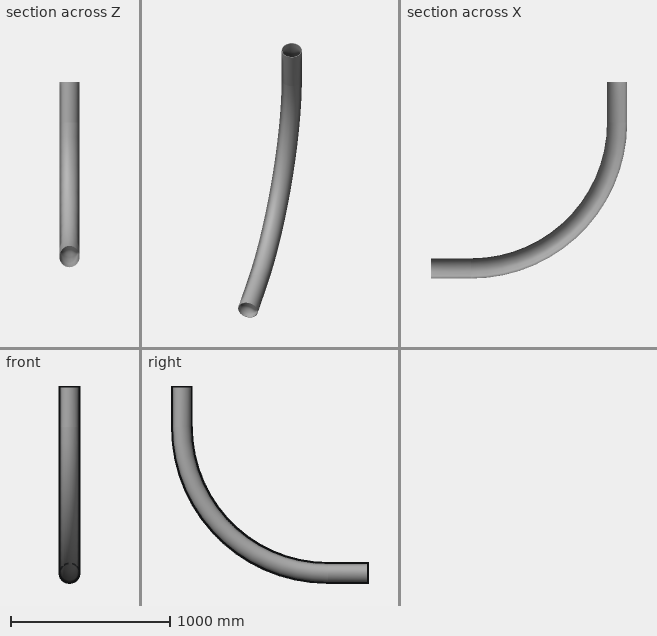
import cadquery as cq

overall_size = 1232.0
outer_diameter = 127.0
inner_diameter = 121.0
leg_length = 254.0
bend_angle = 90

bend_radius = overall_size - leg_length - outer_diameter / 2


def pipe_section(plane):
    """Ring-shaped cross-section of the pipe, centred on the given plane."""
    return cq.Workplane(plane).circle(outer_diameter / 2).circle(inner_diameter / 2)


upright_start = cq.Plane(origin=(0, -bend_radius, 0), xDir=(1, 0, 0), normal=(0, 0, 1))
level_start = cq.Plane(origin=(0, 0, -bend_radius), xDir=(1, 0, 0), normal=(0, 1, 0))

upright_leg = pipe_section(upright_start).extrude(leg_length)
level_leg = pipe_section(level_start).extrude(leg_length)

axis_start = (0, bend_radius, 0)
axis_end = (1, bend_radius, 0)
bend = pipe_section(upright_start).revolve(bend_angle, axis_start, axis_end)

result = upright_leg.union(bend).union(level_leg)